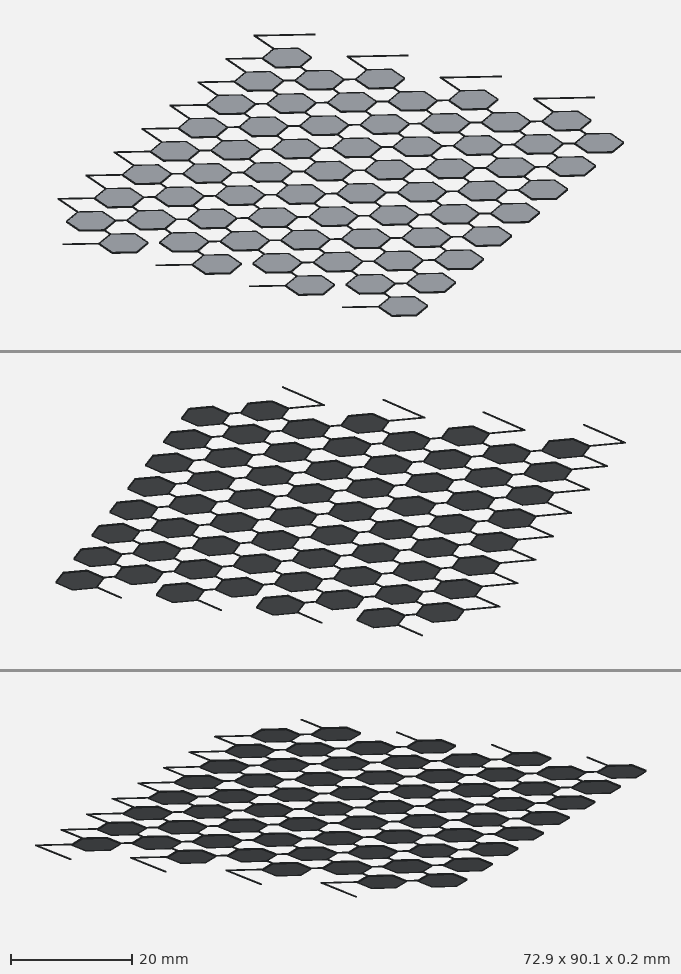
import cadquery as cq
import math

overall_width = 72.9
overall_length = 90.1
plate_thickness = 0.2

strand_width = 0.1
strand_thickness = 0.1

column_count = 8
plates_per_column = 8
strand_angle = math.radians(30)
end_rise = strand_width / 2 * math.cos(strand_angle)
end_shift = strand_width / 2 * math.sin(strand_angle)

pitch = (overall_length - 2 * end_rise) / (plates_per_column + 1)
column_spacing = pitch / 2 / math.tan(strand_angle)

bend_reach = strand_width / 2 / math.sin(strand_angle)

plate_across_flats = 2 * (overall_width - column_count * column_spacing - bend_reach)
plate_corner_radius = plate_across_flats / 2 / math.cos(math.radians(30))


def plate_centers():
    """Centres of all plates, in columns numbered from 1 on the left."""
    centers = []
    for column in range(1, column_count + 1):
        lowest = pitch if column % 2 else pitch / 2
        for row in range(plates_per_column):
            centers.append((column * column_spacing, lowest + row * pitch))
    return centers


def make_plates():
    """Separate hexagonal plates with a corner pointing along +Y."""
    hexagon = cq.Sketch().regularPolygon(plate_corner_radius, 6)
    return (
        cq.Workplane("XY")
        .pushPoints(plate_centers())
        .placeSketch(hexagon)
        .extrude(plate_thickness)
    )


def make_strand(column):
    """Zigzag strand between a column and the next one, with square-cut ends."""
    on_left = column % 2 == 1
    end_column = column if on_left else column + 1
    bend_column = column + 1 if on_left else column
    bottom = 0 if on_left else pitch
    toward_bend = 1 if on_left else -1

    centerline = []
    for step in range(2 * plates_per_column + 1):
        at_column = bend_column if step % 2 else end_column
        centerline.append((at_column * column_spacing, bottom + step * pitch / 2))

    end_x, bottom_y = centerline[0]
    top_y = centerline[-1][1]
    shift = toward_bend * end_shift
    reach = toward_bend * bend_reach
    bends = centerline[1:-1]
    bend_side = [(x + reach, y) for x, y in bends]
    far_side = [(x - reach, y) for x, y in bends]
    outline = (
        [(end_x + shift, bottom_y - end_rise)]
        + bend_side
        + [(end_x + shift, top_y + end_rise), (end_x - shift, top_y - end_rise)]
        + far_side[::-1]
        + [(end_x - shift, bottom_y + end_rise)]
    )
    return (
        cq.Workplane("XY", origin=(0, 0, plate_thickness - strand_thickness))
        .polyline(outline)
        .close()
        .extrude(strand_thickness)
    )


result = make_plates()
for column in range(column_count):
    result = result.union(make_strand(column))
result = result.clean()